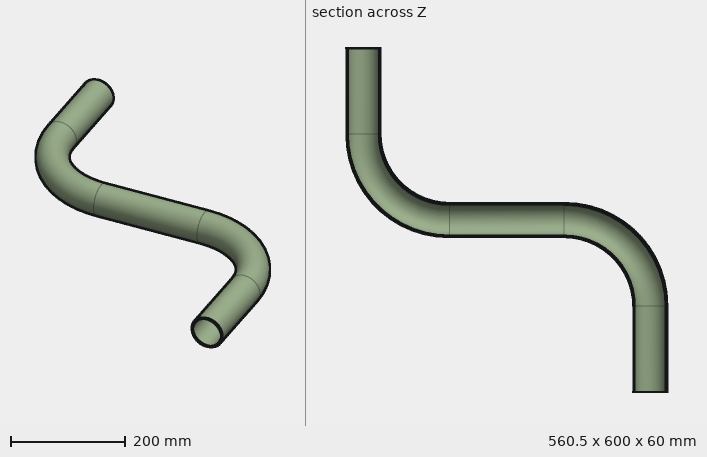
import cadquery as cq

outer_diameter = 60.0
wall = 3.0
inner_diameter = outer_diameter - 2 * wall

total_length = 600.0
bend_radius = 150.0
cross_run = 200.5
leg_length = total_length / 2 - bend_radius

leg_x = cross_run / 2 + bend_radius
end_y = total_length / 2

centreline = (
    cq.Workplane("XY")
    .moveTo(-leg_x, end_y)
    .lineTo(-leg_x, end_y - leg_length)
    .tangentArcPoint((bend_radius, -bend_radius))
    .lineTo(cross_run / 2, 0)
    .tangentArcPoint((bend_radius, -bend_radius))
    .lineTo(leg_x, -end_y)
)

end_plane = cq.Plane(origin=(-leg_x, end_y, 0), xDir=(1, 0, 0), normal=(0, -1, 0))
result = (
    cq.Workplane(end_plane)
    .circle(outer_diameter / 2)
    .circle(inner_diameter / 2)
    .sweep(centreline)
)